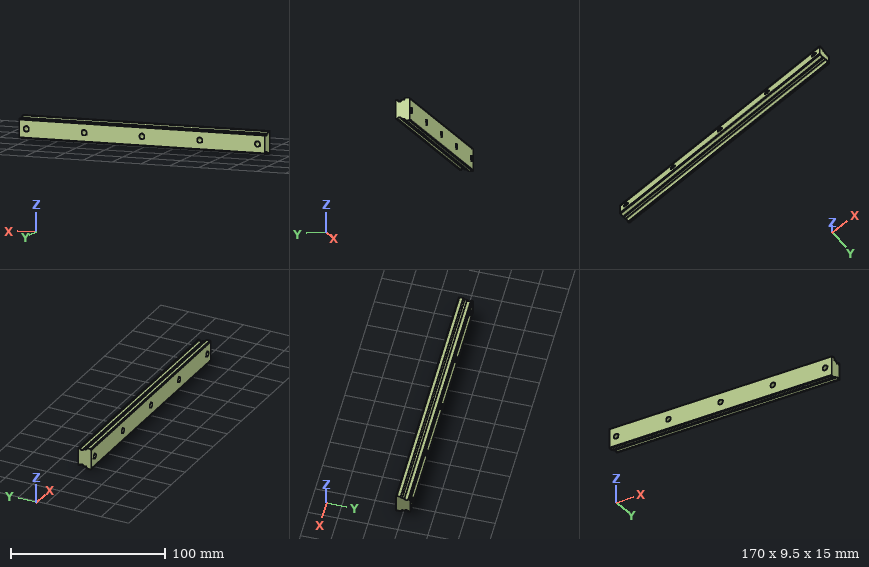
import cadquery as cq

length = 170.0
depth = 9.5
width = 15.0

half_width = width / 2
edge_chamfer = 0.5
flange_depth = 3.0
neck_half_width = 6.3
slope_end = 4.0
groove_start = 5.6
groove_end = 8.2
groove_depth = 1.0
groove_middle = (groove_start + groove_end) / 2

hole_count = 5
hole_pitch = 40.0
hole_diameter = 3.5


def make_half_rail():
    """Upper half of the rail, above the middle plane Z = 0."""
    profile = (
        cq.Workplane("YZ")
        .moveTo(0, 0)
        .lineTo(0, half_width - edge_chamfer)
        .lineTo(edge_chamfer, half_width)
        .lineTo(flange_depth, half_width)
        .lineTo(slope_end, neck_half_width)
        .lineTo(groove_start, neck_half_width)
        .threePointArc(
            (groove_middle, neck_half_width - groove_depth),
            (groove_end, neck_half_width),
        )
        .lineTo(depth - edge_chamfer, neck_half_width)
        .lineTo(depth, neck_half_width - edge_chamfer)
        .lineTo(depth, 0)
        .close()
    )
    return profile.extrude(length / 2, both=True)


def make_holes():
    """Row of plain holes through the full depth, centred on the rail."""
    return (
        cq.Workplane("XZ")
        .rarray(hole_pitch, 1.7, hole_count, 1)
        .circle(hole_diameter / 2)
        .extrude(-depth)
    )


half_rail = make_half_rail()
rail = half_rail.union(half_rail.mirror("XY")).clean()
result = rail.cut(make_holes()).translate((0, -depth / 2, 0))